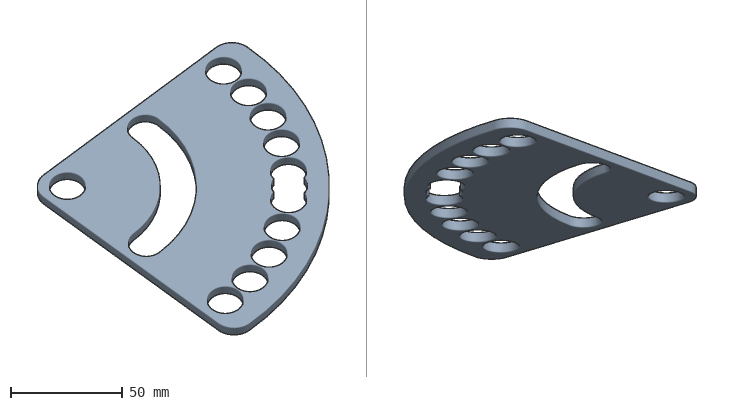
import cadquery as cq
import math

overall_size = 130.5
thickness = 5.0
edge_margin = 12.5
corner_radius = 10.0
edge_round = 0.5
outer_radius = overall_size - edge_margin

hole_radius = 8.1
hole_circle_radius = 100.0
slot_mid_radius = hole_circle_radius / 2
slot_half_width = hole_radius

quarter_turn = 90
diagonal = quarter_turn / 2
hole_step = 10
hole_angles = [*range(0, quarter_turn + 1, hole_step), diagonal]


def polar(radius, angle):
    """Point at a radius and an angle in degrees around the pivot."""
    return (radius * math.cos(math.radians(angle)), radius * math.sin(math.radians(angle)))


def sector_plate():
    """Quarter sector centred on the pivot, its straight sides one margin outside it."""
    arc_end = math.sqrt(outer_radius**2 - edge_margin**2)
    return (
        cq.Workplane("XY")
        .moveTo(-edge_margin, -edge_margin)
        .lineTo(arc_end, -edge_margin)
        .threePointArc(polar(outer_radius, diagonal), (-edge_margin, arc_end))
        .close()
        .extrude(thickness)
        .edges("|Z")
        .fillet(corner_radius)
    )


def hole_cutter():
    """Pivot hole and the row of index holes; the three around the diagonal merge."""
    cutter = cq.Workplane("XY").circle(hole_radius).extrude(thickness)
    for angle in hole_angles:
        centre = polar(hole_circle_radius, angle)
        hole = cq.Workplane("XY").center(*centre).circle(hole_radius).extrude(thickness)
        cutter = cutter.union(hole)
    return cutter


def slot_cutter():
    """Quarter-turn slot around the pivot with round ends."""
    inner = slot_mid_radius - slot_half_width
    outer = slot_mid_radius + slot_half_width
    return (
        cq.Workplane("XY")
        .moveTo(outer, 0)
        .threePointArc(polar(outer, diagonal), (0, outer))
        .threePointArc((-slot_half_width, slot_mid_radius), (0, inner))
        .threePointArc(polar(inner, diagonal), (inner, 0))
        .threePointArc((slot_mid_radius, -slot_half_width), (outer, 0))
        .close()
        .extrude(thickness)
    )


plate = sector_plate().cut(hole_cutter()).cut(slot_cutter())
result = plate.faces("<Z or >Z").edges().fillet(edge_round)